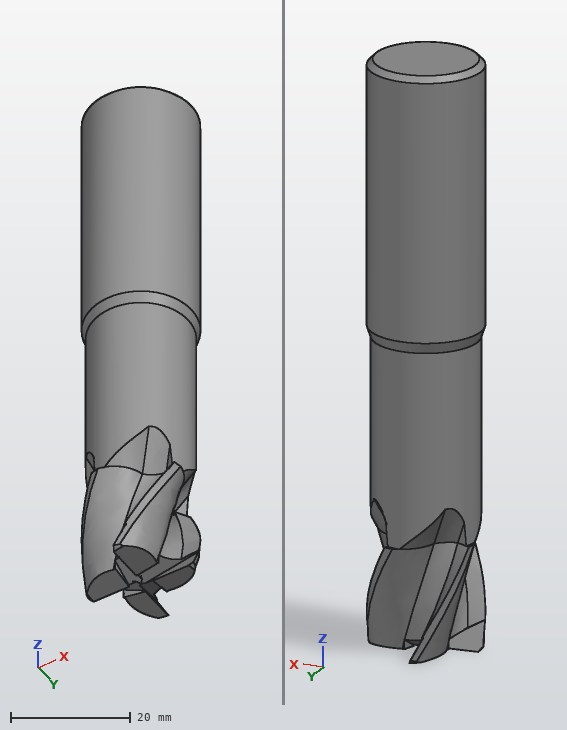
import cadquery as cq
import math

total_length = 104.0
tool_radius = 10.0
neck_radius = 9.31
cutter_length = 20.0
neck_end = 55.0
shank_start = 57.0
shank_chamfer = 1.0
corner_chamfer = 0.8
helix_angle = 30.0
tooth_count = 4

cutting_edge = (tool_radius, 0.0)
land_end = (9.83, 9.0)
back_middle = (8.1, 29.0)
back_end = (5.3, 59.0)
root_middle = (5.4, 76.0)
rake_start = (7.1, 93.0)

runout_rise = 7.3
runout_shift = 4.1
runout_heading = 72.0
flute_clearance = 8.3

edge_offset = 0.4
gash_height = 5.2
gash_width = 2.5
gash_tilt = 28.0
relief_rise = 1.4
relief_width = 7.3

tooth_pitch = 360.0 / tooth_count
twist = math.degrees(cutter_length * math.tan(math.radians(helix_angle)) / tool_radius)


def polar(place, turn=0.0):
    """Point at a (radius, angle) place, turned about the tool axis."""
    radius, angle = place
    angle = math.radians(angle + turn)
    return (radius * math.cos(angle), radius * math.sin(angle))


def around_axis(shape):
    """One copy of a shape for each tooth."""
    return [shape.rotate((0, 0, 0), (0, 0, 1), i * tooth_pitch) for i in range(tooth_count)]


def make_helical_blank():
    section = cq.Workplane("XY").moveTo(*polar(cutting_edge))
    for i in range(tooth_count):
        turn = i * tooth_pitch
        section = (
            section.lineTo(*polar(land_end, turn))
            .threePointArc(polar(back_middle, turn), polar(back_end, turn))
            .threePointArc(polar(root_middle, turn), polar(rake_start, turn))
        )
        if i < tooth_count - 1:
            section = section.lineTo(*polar(cutting_edge, turn + tooth_pitch))
    return section.close().twistExtrude(cutter_length, twist)


def make_gash():
    """Groove in front of a tooth: a leaning face and a floor that rises outward."""
    lean = gash_height * math.tan(math.radians(gash_tilt))
    groove = (
        cq.Workplane("YZ")
        .polyline([
            (edge_offset - gash_width, 0),
            (edge_offset, 0),
            (edge_offset + lean, gash_height),
            (edge_offset - gash_width, gash_height),
        ])
        .close()
        .extrude(tool_radius)
    )
    below_floor = (
        cq.Workplane("XZ")
        .polyline([(0, 0), (tool_radius, 0), (tool_radius, gash_height)])
        .close()
        .extrude(tool_radius, both=True)
    )
    return groove.intersect(below_floor)


def make_end_relief():
    """Wedge under a tooth that rises behind its end cutting edge."""
    far_side = edge_offset + relief_width
    return (
        cq.Workplane("YZ")
        .polyline([(edge_offset, 0), (far_side, 0), (far_side, relief_rise)])
        .close()
        .extrude(tool_radius)
    )


def make_cutter():
    envelope = cq.Workplane("XY").circle(tool_radius).extrude(cutter_length)
    envelope = envelope.faces("<Z").chamfer(corner_chamfer)
    cutter = make_helical_blank().intersect(envelope)
    for cut in around_axis(make_gash()) + around_axis(make_end_relief()):
        cutter = cutter.cut(cut)
    return cutter


def make_flute_runout():
    """Flute section carried upward and outward until it leaves the neck."""
    outer_reach = tool_radius + flute_clearance
    section = (
        cq.Workplane("XY")
        .moveTo(*polar(land_end, twist))
        .threePointArc(polar(back_middle, twist), polar(back_end, twist))
        .threePointArc(polar(root_middle, twist), polar(rake_start, twist))
        .lineTo(*polar((tool_radius, tooth_pitch), twist))
        .lineTo(*polar((outer_reach, tooth_pitch), twist))
        .lineTo(*polar((outer_reach, land_end[1]), twist))
        .close()
    )
    shift = polar((runout_shift, runout_heading), twist)
    travel = cq.Vector(*shift, runout_rise)
    runout = cq.Solid.extrudeLinear(section.val(), [], travel)
    return cq.Workplane(runout.translate(cq.Vector(0, 0, cutter_length)))


def make_shank():
    shank = (
        cq.Workplane("XZ")
        .polyline([
            (0, cutter_length),
            (neck_radius, cutter_length),
            (neck_radius, neck_end),
            (tool_radius, shank_start),
            (tool_radius, total_length - shank_chamfer),
            (tool_radius - shank_chamfer, total_length),
            (0, total_length),
        ])
        .close()
        .revolve(360, (0, 0, 0), (0, 1, 0))
    )
    for runout in around_axis(make_flute_runout()):
        shank = shank.cut(runout)
    return shank


cutter = make_cutter()
shank = make_shank()
result = cq.Compound.makeCompound([cutter.solids().val(), shank.solids().val()])